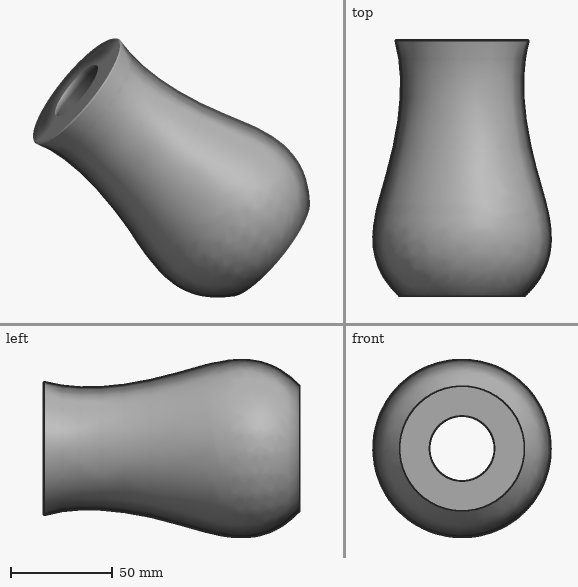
import cadquery as cq

length = 127.0
belly_diameter = 88.0
belly_radius = belly_diameter / 2
base_radius = 30.9
flank_radius = 37.6
neck_radius = 30.5
rim_radius = 33.0
bore_diameter = 32.0

belly_position = 30.2
flank_position = 59.7
neck_position = 99.0
rim_edge = 0.6

belly_point = (belly_radius, belly_position)
flank_point = (flank_radius, flank_position)
neck_point = (neck_radius, neck_position)
rim_point = (rim_radius, length - rim_edge)


def make_body():
    """Turn the outer profile: round belly, slim neck and flared rim."""
    profile = (
        cq.Workplane("XY")
        .lineTo(base_radius, 0)
        .spline([belly_point, flank_point, neck_point, rim_point], includeCurrent=True)
        .lineTo(rim_radius - rim_edge, length)
        .lineTo(0, length)
        .close()
    )
    return profile.revolve(360, (0, 0, 0), (0, 1, 0))


def make_bore():
    """Plain round hole along the whole axis."""
    return cq.Workplane("XZ").circle(bore_diameter / 2).extrude(-length)


result = make_body().cut(make_bore())